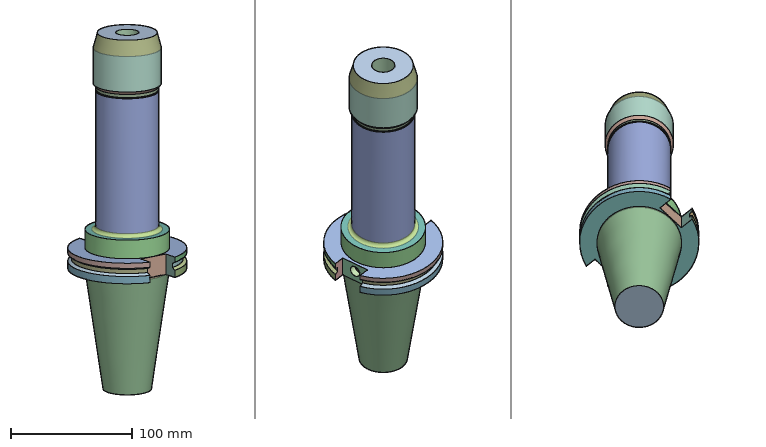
import cadquery as cq
import math


gauge_radius = 69.85 / 2
taper_length = 101.6
taper_ratio = 7 / 24
taper_end_radius = gauge_radius - taper_length * taper_ratio / 2

flange_radius = 98.425 / 2
flange_bottom_z = 1.5
flange_top_z = 19.05
flange_mid_z = (flange_bottom_z + flange_top_z) / 2
groove_bottom_z = 7.7
groove_top_z = 14.7
groove_depth = 3.0
groove_wall_angle = 30
groove_floor_radius = flange_radius - groove_depth
groove_wall_rise = groove_depth * math.tan(math.radians(groove_wall_angle))

slot_width = 25.9
deep_slot_floor = 35.306
shallow_slot_floor = 37.719
pin_hole_diameter = 9.5
pin_hole_depth = 6.0
pin_hole_z = (groove_bottom_z + groove_top_z) / 2

collar_radius = gauge_radius
collar_top_z = 34.925
neck_radius = 26.05
neck_fillet = 3.1

head_radius = 28.25
head_top_radius = 24.8
head_top_z = 203.2
head_cone_height = 13.0
head_height = 43.4
head_chamfer_height = 2.7
head_cone_z = head_top_z - head_cone_height
head_bottom_z = head_top_z - head_height
head_chamfer_z = head_bottom_z - head_chamfer_height

relief_width = 0.9
relief_depth = 0.5
relief_top_z = 154.3
relief_bottom_z = relief_top_z - relief_width

bore_diameter = 19.05
bore_depth = 60.0


def make_body():
    """Revolve the half profile of the holder about Z."""
    fillet_mid_offset = neck_fillet * (1 - math.sqrt(0.5))
    profile = (
        cq.Workplane("XZ")
        .moveTo(0, -taper_length)
        .lineTo(taper_end_radius, -taper_length)
        .lineTo(gauge_radius, 0)
        .lineTo(gauge_radius, flange_bottom_z)
        .lineTo(flange_radius, flange_bottom_z)
        .lineTo(flange_radius, groove_bottom_z)
        .lineTo(groove_floor_radius, groove_bottom_z + groove_wall_rise)
        .lineTo(groove_floor_radius, groove_top_z - groove_wall_rise)
        .lineTo(flange_radius, groove_top_z)
        .lineTo(flange_radius, flange_top_z)
        .lineTo(collar_radius, flange_top_z)
        .lineTo(collar_radius, collar_top_z)
        .lineTo(neck_radius + neck_fillet, collar_top_z)
        .threePointArc(
            (neck_radius + fillet_mid_offset, collar_top_z + fillet_mid_offset),
            (neck_radius, collar_top_z + neck_fillet),
        )
        .lineTo(neck_radius, relief_bottom_z)
        .lineTo(neck_radius - relief_depth, relief_bottom_z)
        .lineTo(neck_radius - relief_depth, relief_top_z)
        .lineTo(neck_radius, relief_top_z)
        .lineTo(neck_radius, head_chamfer_z)
        .lineTo(head_radius, head_bottom_z)
        .lineTo(head_radius, head_cone_z)
        .lineTo(head_top_radius, head_top_z)
        .lineTo(0, head_top_z)
        .close()
    )
    return profile.revolve(360, (0, 0, 0), (0, 1, 0))


def make_drive_slot(floor_distance, side):
    """Block that opens a slot through the flange; side is +1 for +X, -1 for -X."""
    slot_length = flange_radius - floor_distance
    slot_height = flange_top_z - flange_bottom_z
    center_x = side * (floor_distance + slot_length / 2)
    return (
        cq.Workplane("XY")
        .box(slot_length, slot_width, slot_height)
        .translate((center_x, 0, flange_mid_z))
    )


def make_pin_hole():
    """Blind radial hole in the floor of the -X drive slot."""
    return (
        cq.Workplane("YZ", origin=(-shallow_slot_floor, 0, pin_hole_z))
        .circle(pin_hole_diameter / 2)
        .extrude(pin_hole_depth)
    )


def make_tool_bore():
    """Blind bore down from the top face."""
    return (
        cq.Workplane("XY", origin=(0, 0, head_top_z))
        .circle(bore_diameter / 2)
        .extrude(-bore_depth)
    )


result = (
    make_body()
    .cut(make_drive_slot(deep_slot_floor, 1))
    .cut(make_drive_slot(shallow_slot_floor, -1))
    .cut(make_pin_hole())
    .cut(make_tool_bore())
)